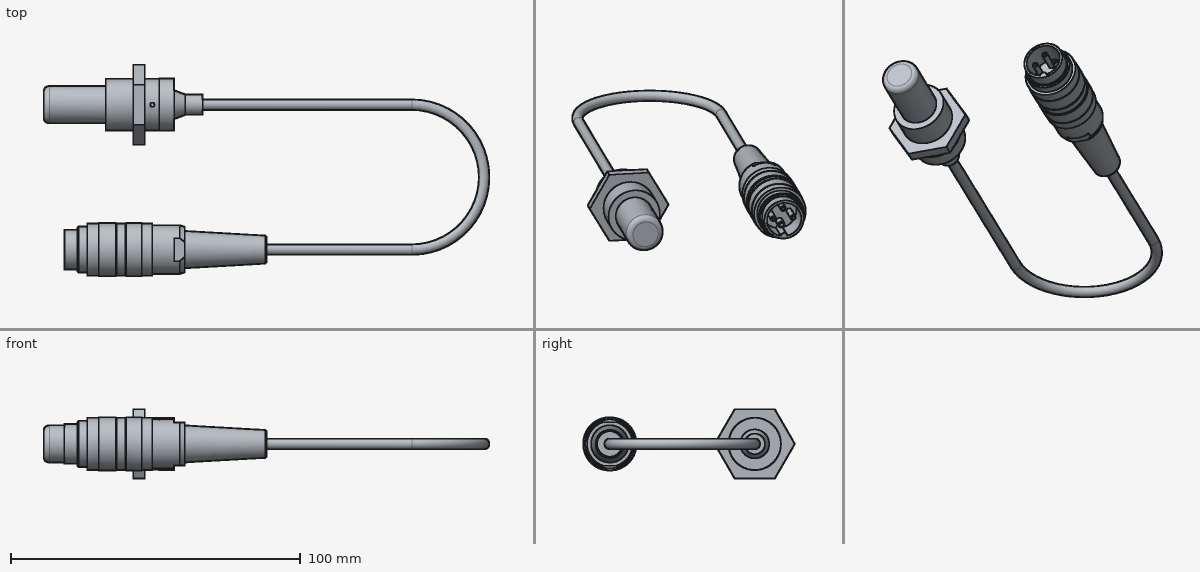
import cadquery as cq
import math

overall_length = 153.8
axis_spacing = 50.0
cable_dia = 3.7

probe_dia = 12.9
probe_round = 2.0
barrel_dia = 18.0
cap_dia = 18.1
nut_sides = 6
nut_across_flats = 24.0
relief_root_dia = 10.0
relief_dia = 7.0
barrel_start = 21.4
nut_start = 30.9
nut_end = 34.9
cap_joint = 40.0
barrel_end = 45.0
relief_cone_end = 48.9
sensor_end = 54.9
dot_dia = 1.49
dot_depth = 0.8
dot_count = 4
dot_station = 37.5

nose_dia = 13.8
nose_bore_dia = 12.0
nose_bore_depth = 9.2
collar_dia = 16.0
collar_chamfer = 0.5
ring_dia = 18.1
band_dia = 18.5
groove_dia = 17.7
groove_width = 0.3
shell_dia = 16.9
shell_end_dia = 15.7
boot_root_dia = 12.9
boot_end_dia = 9.7
boot_chamfer = 0.5
nose_start = 7.2
collar_start = 11.7
ring_start = 15.0
front_band_start = 19.0
front_band_end = 24.9
rear_band_start = 28.5
rear_band_end = 33.8
ring_end = 37.5
flat_start = 45.0
shell_taper_start = 46.9
shell_end = 48.8
boot_end = 76.9
flat_spacing = 14.9

pin_dia = 1.8
pin_tip_dia = 1.0
pin_setback = 1.2
guide_pin_dia = 2.3
guide_pin_tip_dia = 1.49
guide_pin_setback = 4.6
pin_circle_dia = 6.9
slim_pin_angles = (0, 90, 180)
guide_pin_angle = 270
key_dia = 2.3

plug_y = -axis_spacing
bend_radius = axis_spacing / 2
bend_start = overall_length - cable_dia / 2 - bend_radius
bore_floor = nose_start + nose_bore_depth


def disc(dia, start, end, y=0.0, z=0.0):
    """Solid cylinder along X between two stations."""
    return cq.Workplane("YZ", origin=(start, y, z)).circle(dia / 2).extrude(end - start)


def cone(start_dia, end_dia, start, end):
    """Solid truncated cone along X between two stations."""
    profile = [(start, 0), (start, start_dia / 2), (end, end_dia / 2), (end, 0)]
    return cq.Workplane("XY").polyline(profile).close().revolve(360, (0, 0, 0), (1, 0, 0))


def make_sensor():
    """Probe, barrel with hexagon, end cap and strain relief."""
    sensor = disc(probe_dia, 0, barrel_start).faces("<X").edges().fillet(probe_round)

    sensor = sensor.union(disc(barrel_dia, barrel_start, cap_joint))
    sensor = sensor.union(disc(cap_dia, cap_joint, barrel_end))
    nut_corner_dia = nut_across_flats / math.cos(math.pi / nut_sides)
    nut = cq.Workplane("YZ", origin=(nut_start, 0, 0)).polygon(nut_sides, nut_corner_dia)
    nut = nut.extrude(nut_end - nut_start)
    sensor = sensor.union(nut)

    sensor = sensor.union(cone(relief_root_dia, relief_dia, barrel_end, relief_cone_end))
    sensor = sensor.union(disc(relief_dia, relief_cone_end, sensor_end))

    dot = cq.Workplane("XY", origin=(dot_station, 0, barrel_dia / 2 - dot_depth)).circle(dot_dia / 2)
    dot = dot.extrude(2 * dot_depth)
    for i in range(dot_count):
        sensor = sensor.cut(dot.rotate((0, 0, 0), (1, 0, 0), i * 360 / dot_count))
    return sensor


def make_plug():
    """Plug shell with keyed nose, grip bands, wrench flats and tapered boot."""
    plug = disc(nose_dia, nose_start, collar_start)
    plug = plug.union(disc(collar_dia, collar_start, ring_start).faces("<X").edges().chamfer(collar_chamfer))
    plug = plug.union(disc(ring_dia, ring_start, ring_end))
    plug = plug.union(disc(band_dia, front_band_start, front_band_end))
    plug = plug.union(disc(band_dia, rear_band_start, rear_band_end))

    for start in (front_band_end, rear_band_start - groove_width):
        end = start + groove_width
        plug = plug.cut(disc(band_dia, start, end).cut(disc(groove_dia, start, end)))

    shell = disc(shell_dia, ring_end, shell_taper_start)
    shell = shell.union(cone(shell_dia, shell_end_dia, shell_taper_start, shell_end))
    flat_length = shell_end - flat_start
    flat_stock = cq.Workplane("YZ", origin=(flat_start, 0, 0))
    outside = flat_stock.rect(band_dia, band_dia).extrude(flat_length)
    between_flats = flat_stock.rect(band_dia, flat_spacing).extrude(flat_length)
    shell = shell.cut(outside.cut(between_flats))

    boot = cone(boot_root_dia, boot_end_dia, shell_end, boot_end).faces(">X").edges().chamfer(boot_chamfer)
    plug = plug.union(shell).union(boot)

    bore = disc(nose_bore_dia, nose_start, bore_floor)
    key = disc(key_dia, nose_start, bore_floor, z=-nose_bore_dia / 2)
    plug = plug.cut(bore.cut(key))
    return plug.translate((0, plug_y, 0))


def make_cable():
    """Cable along both axes, joined by a half-circle bend."""
    straight_length = bend_start - sensor_end
    bend_middle = (straight_length + bend_radius, -bend_radius)
    path = (
        cq.Workplane("XY", origin=(sensor_end, 0, 0))
        .lineTo(straight_length, 0)
        .threePointArc(bend_middle, (straight_length, plug_y))
        .lineTo(boot_end - sensor_end, plug_y)
    )
    return cq.Workplane("YZ", origin=(sensor_end, 0, 0)).circle(cable_dia / 2).sweep(path)


def make_pin(dia, tip_dia, setback, angle):
    """Contact pin standing on the bore floor, with a chamfered tip."""
    y = plug_y + pin_circle_dia / 2 * math.cos(math.radians(angle))
    z = pin_circle_dia / 2 * math.sin(math.radians(angle))
    pin = disc(dia, nose_start + setback, bore_floor, y, z)
    return pin.faces("<X").edges().chamfer((dia - tip_dia) / 2)


sensor = make_sensor()
plug = make_plug()
cable = make_cable()
slim_pins = [make_pin(pin_dia, pin_tip_dia, pin_setback, angle) for angle in slim_pin_angles]
guide_pin = make_pin(guide_pin_dia, guide_pin_tip_dia, guide_pin_setback, guide_pin_angle)

result = cq.Compound.makeCompound(
    [sensor.val(), plug.val(), cable.val(), *[pin.val() for pin in slim_pins], guide_pin.val()]
)